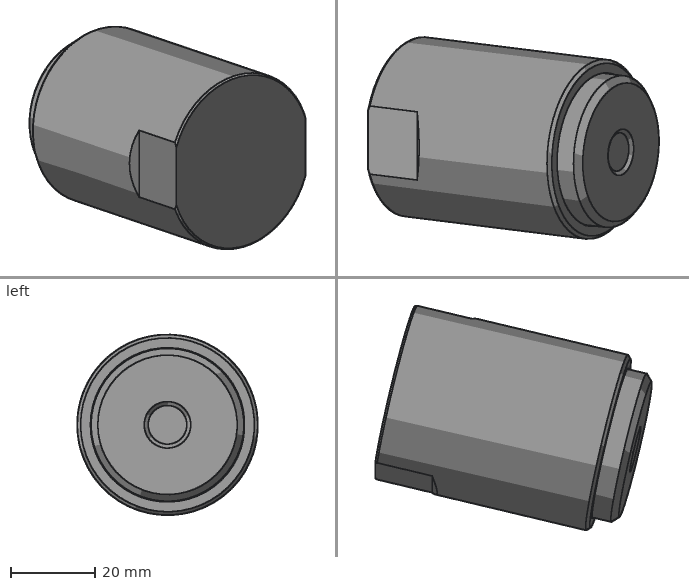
import cadquery as cq

overall_length = 58.75

housing_diameter = 42.9
housing_start = 6.1
front_chamfer = 0.8
rear_chamfer_length = 0.5
rear_chamfer_height = 0.4

flat_distance = 19.8
flat_length = 13.9

plunger_diameter = 36.25
plunger_chamfer = 1.6
bore_clearance = 0.2
bore_depth = 23.5

hole_diameter = 9.15
countersink_depth = 0.75
countersink_width = 0.95
plug_length = 11.75

housing_radius = housing_diameter / 2
plunger_radius = plunger_diameter / 2
hole_radius = hole_diameter / 2


def cylinder(start, length, radius):
    """Cylinder along +X that starts at X = start."""
    return cq.Workplane("YZ", origin=(start, 0, 0)).circle(radius).extrude(length)


def revolve_about_x(profile):
    """Solid of revolution from a closed half profile of (x, radius) points."""
    return cq.Workplane("XY").polyline(profile).close().revolve(360, (0, 0, 0), (1, 0, 0))


def cut_flats(body):
    """Cut the two flats, each ending in a 45 degree slope up to the round surface."""
    slope_start = overall_length - flat_length
    rise = housing_radius - flat_distance
    profile = [
        (slope_start, flat_distance),
        (overall_length, flat_distance),
        (overall_length, housing_radius),
        (slope_start - rise, housing_radius),
    ]
    cutter = cq.Workplane("XY").polyline(profile).close().extrude(housing_radius, both=True)
    return body.cut(cutter).cut(cutter.mirror("XZ"))


def make_housing():
    """Round sleeve with chamfered ends, wrench flats and a blind bore."""
    profile = [
        (housing_start, 0),
        (housing_start, housing_radius - front_chamfer),
        (housing_start + front_chamfer, housing_radius),
        (overall_length - rear_chamfer_length, housing_radius),
        (overall_length, housing_radius - rear_chamfer_height),
        (overall_length, 0),
    ]
    body = revolve_about_x(profile)
    bore = cylinder(housing_start, bore_depth, plunger_radius + bore_clearance)
    return cut_flats(body).cut(bore)


def make_plunger():
    """Chamfered cylinder that rests on the bore floor, with a countersunk hole in its face."""
    profile = [
        (countersink_depth, 0),
        (countersink_depth, hole_radius),
        (0, hole_radius + countersink_width),
        (0, plunger_radius - plunger_chamfer),
        (plunger_chamfer, plunger_radius),
        (housing_start + bore_depth, plunger_radius),
        (housing_start + bore_depth, 0),
    ]
    return revolve_about_x(profile).cut(cylinder(countersink_depth, plug_length, hole_radius))


def make_plug():
    """Plain pin that fills the hole up to the bottom of the countersink."""
    return cylinder(countersink_depth, plug_length, hole_radius)


housing = make_housing()
plunger = make_plunger()
plug = make_plug()

result = cq.Compound.makeCompound([housing.val(), plunger.val(), plug.val()])